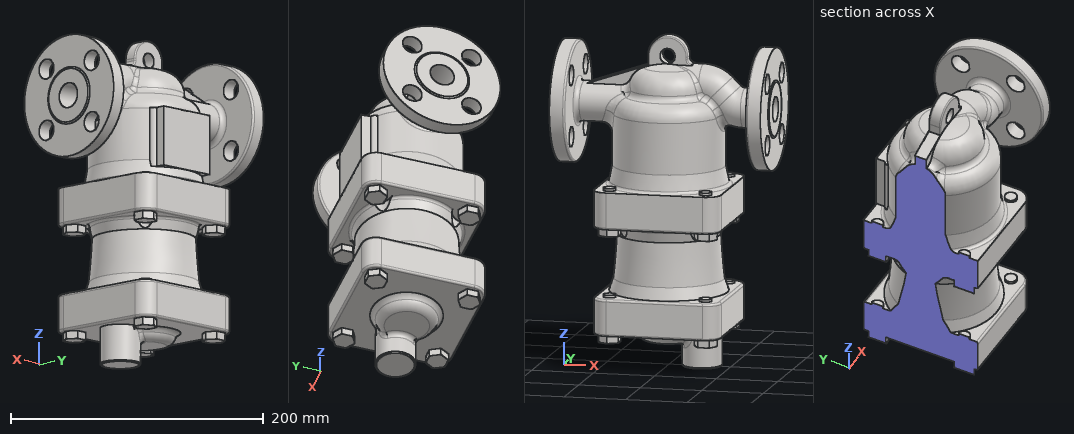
import cadquery as cq
import math


face_to_face = 173.0
flange_diameter = 98.0
flange_thickness = 12.3
flange_rim_radius = 1.5
raised_face_height = 0.7
raised_face_top_diameter = 43.0
raised_face_base_diameter = 46.0
flange_hole_diameter = 16.0
flange_hole_circle = 70.0
pipe_diameter = 32.0
pipe_bore_diameter = 20.0
pipe_bore_depth = 25.0
neck_fillet = 4.0

elbow_start_x = 61.5
elbow_angle = 45.0
elbow_lower_radius = 21.0
elbow_upper_radius = 17.5
elbow_rise = 17.9

body_radius = 45.0
dome_top = 33.8
dome_cap_radius = 20.0
dome_cap_edge = 30.1
dome_radius = 32.0
dome_base = 12.9
shoulder_radius = 15.0
shoulder_base = -6.4
inlet_body_fillet = 9.0
outlet_body_fillet = 5.0
skirt_top = -48.1
skirt_radius = 47.5
skirt_bottom = -61.0
skirt_foot_radius = 50.0
skirt_foot_sagitta = 0.5

square_side = 103.0
square_corner_radius = 12.4
pair_thickness = 30.0
upper_pair_top = -63.4
lower_pair_top = -149.3
pair_edge_fillet = 1.8

bolt_spacing = 78.0
bolt_diameter = 10.0
bolt_projection = 2.0
head_across_flats = 16.0
head_face_diameter = 17.48
head_height = 6.3
bolt_relief_radius = 13.7

waist_radius = 41.2
waist_top = -103.6
waist_sagitta = 0.3
waist_foot_radius = 46.0
waist_foot_sagitta = 0.5
waist_upper_edge_radius = 43.7
waist_upper_edge = -95.4
waist_base_radius = 44.0
waist_base = -139.0

cover_top_radius = 29.0
cover_hollow_sagitta = 0.5
cover_wall_radius = 25.0
cover_round_sagitta = 1.3
cover_wall_top = -183.2
cover_bottom_radius = 18.0
cover_bottom = -189.7
drain_x = 27.0
drain_bottom = -209.1
drain_chamfer = 1.0
drain_cover_fillet = 3.8

lug_radius = 16.0
lug_thickness = 10.5
lug_hole_diameter = 12.0
lug_hole_height = 39.86
lug_edge_fillet = 1.0
lug_foot_fillet = 4.0
rib_low_x = -65.0
rib_low_z = 15.2
rib_high_z = 31.8

pad_width = 52.5
pad_face_y = 47.0
pad_bottom = -54.0
pad_flank_spread = 3.0
pad_flank_height = 4.8
pad_flank_sagitta = 0.9

contact_tolerance = 0.001

pipe_radius = pipe_diameter / 2
connection_x = face_to_face / 2
upper_pair_bottom = upper_pair_top - pair_thickness
lower_pair_bottom = lower_pair_top - pair_thickness
flange_inner_x = connection_x - raised_face_height - flange_thickness


def lies_on(point, solid):
    """Tell whether a point is on the skin of a solid."""
    vertex = cq.Vertex.makeVertex(*point.toTuple())
    return any(face.distance(vertex) < contact_tolerance for face in solid.Faces())


def join_with_fillet(body, addition, radius, region=None):
    """Union two shapes and fillet the corner where their surfaces meet, within a region if given."""
    joined = body.union(addition)
    edges = joined.edges(region) if region else joined.edges()
    solids = (body.val(), addition.val())
    seam = edges.filter(lambda edge: all(lies_on(edge.positionAt(0.5), solid) for solid in solids))
    return seam.fillet(radius)


def point_on_circle(centre, radius, angle):
    return (centre[0] + radius * math.cos(angle), centre[1] + radius * math.sin(angle))


def upper_body():
    """Domed body of revolution with a rounded shoulder and a flared skirt."""
    cap_sagitta = dome_top - dome_cap_edge
    cap_radius = (dome_cap_radius**2 + cap_sagitta**2) / (2 * cap_sagitta)
    cap_mid_r = dome_cap_radius / 2
    cap_mid_z = dome_top - cap_radius + math.sqrt(cap_radius**2 - cap_mid_r**2)

    side_run = dome_radius - dome_cap_radius
    side_height = dome_cap_edge - dome_base
    side_radius = (side_run**2 + side_height**2) / (2 * side_run)
    side_centre = (dome_radius - side_radius, dome_base)
    side_half_angle = math.asin(side_height / side_radius) / 2

    shoulder_centre = (body_radius - shoulder_radius, shoulder_base)
    step = dome_radius - shoulder_centre[0]
    rise = dome_base - shoulder_base
    hollow_radius = (step**2 + rise**2 - shoulder_radius**2) / (2 * (shoulder_radius - step))
    hollow_centre = (dome_radius + hollow_radius, dome_base)
    blend_angle = math.atan2(rise, step + hollow_radius)

    return (
        cq.Workplane("XZ")
        .moveTo(0, upper_pair_top)
        .lineTo(0, dome_top)
        .threePointArc((cap_mid_r, cap_mid_z), (dome_cap_radius, dome_cap_edge))
        .threePointArc(
            point_on_circle(side_centre, side_radius, side_half_angle),
            (dome_radius, dome_base),
        )
        .threePointArc(
            point_on_circle(hollow_centre, -hollow_radius, blend_angle / 2),
            point_on_circle(shoulder_centre, shoulder_radius, blend_angle),
        )
        .threePointArc(
            point_on_circle(shoulder_centre, shoulder_radius, blend_angle / 2),
            (body_radius, shoulder_base),
        )
        .lineTo(body_radius, skirt_top)
        .lineTo(skirt_radius, skirt_bottom)
        .sagittaArc((skirt_foot_radius, upper_pair_top), -skirt_foot_sagitta)
        .close()
        .revolve(360, (0, 0), (0, 1))
    )


def inlet_pipe():
    """Straight pipe from the inlet flange to the body axis."""
    return cq.Workplane("YZ").workplane(offset=-flange_inner_x).circle(pipe_radius).extrude(flange_inner_x)


def outlet_elbow():
    """Straight pipe with an S-bend that climbs into the top of the dome."""
    angle = math.radians(elbow_angle)
    half = angle / 2
    lower_end = (
        elbow_start_x - elbow_lower_radius * math.sin(angle),
        elbow_lower_radius * (1 - math.cos(angle)),
    )
    lower_mid = (
        elbow_start_x - elbow_lower_radius * math.sin(half),
        elbow_lower_radius * (1 - math.cos(half)),
    )
    slope_end_z = elbow_rise - elbow_upper_radius * (1 - math.cos(angle))
    slope_end = (lower_end[0] - (slope_end_z - lower_end[1]) / math.tan(angle), slope_end_z)
    upper_x = slope_end[0] - elbow_upper_radius * math.sin(angle)
    upper_mid = (
        upper_x + elbow_upper_radius * math.sin(half),
        elbow_rise - elbow_upper_radius * (1 - math.cos(half)),
    )
    path = (
        cq.Workplane("XZ")
        .moveTo(flange_inner_x, 0)
        .lineTo(elbow_start_x, 0)
        .threePointArc(lower_mid, lower_end)
        .lineTo(*slope_end)
        .threePointArc(upper_mid, (upper_x, elbow_rise))
        .lineTo(0, elbow_rise)
    )
    return cq.Workplane("YZ").workplane(offset=flange_inner_x).circle(pipe_radius).sweep(path)


def pipe_flange(side):
    """Round flange with a bevelled raised face and a filleted neck; side is -1 or 1."""
    rim = flange_diameter / 2
    neck_end = flange_inner_x - neck_fillet
    arc_offset = neck_fillet * (1 - math.sqrt(0.5))
    outer_x = flange_inner_x + flange_thickness
    rim_offset = flange_rim_radius * (1 - math.sqrt(0.5))
    flange = (
        cq.Workplane("XY")
        .moveTo(neck_end, 0)
        .lineTo(neck_end, pipe_radius)
        .threePointArc(
            (flange_inner_x - arc_offset, pipe_radius + arc_offset),
            (flange_inner_x, pipe_radius + neck_fillet),
        )
        .lineTo(flange_inner_x, rim - flange_rim_radius)
        .threePointArc(
            (flange_inner_x + rim_offset, rim - rim_offset),
            (flange_inner_x + flange_rim_radius, rim),
        )
        .lineTo(outer_x, rim)
        .lineTo(outer_x, raised_face_base_diameter / 2)
        .lineTo(connection_x, raised_face_top_diameter / 2)
        .lineTo(connection_x, 0)
        .close()
        .revolve(360, (0, 0), (1, 0))
    )
    holes = (
        cq.Workplane("YZ")
        .workplane(offset=flange_inner_x)
        .polarArray(flange_hole_circle / 2, 45, 360, 4)
        .circle(flange_hole_diameter / 2)
        .extrude(flange_thickness)
    )
    flange = flange.cut(holes)
    return flange if side > 0 else flange.mirror("YZ")


def pipe_bore(side):
    """Blind bore cut into a pipe connection; side is -1 or 1."""
    bore = (
        cq.Workplane("YZ")
        .workplane(offset=connection_x - pipe_bore_depth)
        .circle(pipe_bore_diameter / 2)
        .extrude(pipe_bore_depth)
    )
    return bore if side > 0 else bore.mirror("YZ")


def square_pair(top, round_top):
    """Two mating square flanges as one block, rounded below and, if asked, above."""
    block = (
        cq.Workplane("XY")
        .workplane(offset=top - pair_thickness)
        .rect(square_side, square_side)
        .extrude(pair_thickness)
        .edges("|Z")
        .fillet(square_corner_radius)
        .faces("<Z")
        .edges()
        .fillet(pair_edge_fillet)
    )
    if round_top:
        block = block.faces(">Z").edges().fillet(pair_edge_fillet)
    return block


def bolts(top):
    """Four bolts with hexagon heads below and stud ends above a flange pair."""
    bottom = top - pair_thickness
    across_corners = head_across_flats / math.cos(math.pi / 6)
    bolt_offset = bolt_spacing / 2
    base = cq.Workplane("XY").workplane(offset=bottom - head_height).center(bolt_offset, -bolt_offset)
    head_round = (
        base.circle(across_corners / 2)
        .extrude(head_height)
        .faces("<Z")
        .edges()
        .chamfer((across_corners - head_face_diameter) / 2)
    )
    head = base.polygon(6, across_corners).extrude(head_height).intersect(head_round)
    shank = base.circle(bolt_diameter / 2).extrude(head_height + pair_thickness + bolt_projection)
    bolt = head.union(shank)
    all_bolts = bolt
    for quarter in range(1, 4):
        all_bolts = all_bolts.union(bolt.rotate((0, 0, 0), (0, 0, 1), 90 * quarter))
    return all_bolts


def middle_body():
    """Waisted body between the flange pairs, relieved around the bolt heads."""
    body = (
        cq.Workplane("XZ")
        .moveTo(0, lower_pair_top)
        .lineTo(0, upper_pair_bottom)
        .lineTo(waist_foot_radius, upper_pair_bottom)
        .sagittaArc((waist_upper_edge_radius, waist_upper_edge), -waist_foot_sagitta)
        .lineTo(waist_radius, waist_top)
        .sagittaArc((waist_base_radius, waist_base), -waist_sagitta)
        .lineTo(skirt_radius, lower_pair_top)
        .close()
        .revolve(360, (0, 0), (0, 1))
    )
    relief = (
        cq.Workplane("XY")
        .workplane(offset=waist_top)
        .rect(bolt_spacing, bolt_spacing, forConstruction=True)
        .vertices()
        .circle(bolt_relief_radius)
        .extrude(upper_pair_bottom - waist_top)
    )
    return body.cut(relief)


def bottom_cover():
    """Shallow dished cover with an offset drain pipe."""
    dish = (
        cq.Workplane("XZ")
        .moveTo(0, lower_pair_bottom)
        .lineTo(cover_top_radius, lower_pair_bottom)
        .sagittaArc((cover_wall_radius, cover_wall_top), -cover_hollow_sagitta)
        .sagittaArc((cover_bottom_radius, cover_bottom), cover_round_sagitta)
        .lineTo(0, cover_bottom)
        .close()
        .revolve(360, (0, 0), (0, 1))
    )
    drain = (
        cq.Workplane("XY")
        .center(drain_x, 0)
        .workplane(offset=drain_bottom)
        .circle(pipe_radius)
        .extrude(lower_pair_bottom - drain_bottom)
        .faces("<Z")
        .chamfer(drain_chamfer)
    )
    return join_with_fillet(dish, drain, drain_cover_fillet)


def lug_and_rib():
    """Lifting eye on the dome and the sloping rib that joins it to the inlet pipe."""
    half = lug_thickness / 2
    elbow_top = elbow_rise + pipe_radius
    lug = (
        cq.Workplane("XZ")
        .workplane(offset=-half)
        .moveTo(-lug_radius, 0)
        .lineTo(-lug_radius, lug_hole_height)
        .threePointArc((0, lug_hole_height + lug_radius), (lug_radius, lug_hole_height))
        .lineTo(lug_radius, elbow_top + lug_foot_fillet)
        .radiusArc((lug_radius + lug_foot_fillet, elbow_top), -lug_foot_fillet)
        .lineTo(lug_radius + lug_foot_fillet, 0)
        .close()
        .extrude(lug_thickness)
        .faces("<Y or >Y")
        .edges()
        .fillet(lug_edge_fillet)
    )
    rib = (
        cq.Workplane("XZ")
        .workplane(offset=-half)
        .moveTo(rib_low_x, 0)
        .lineTo(rib_low_x, rib_low_z)
        .lineTo(-lug_radius, rib_high_z)
        .lineTo(0, rib_high_z)
        .lineTo(0, 0)
        .close()
        .extrude(lug_thickness)
    )
    hole = (
        cq.Workplane("XZ")
        .workplane(offset=-half)
        .center(0, lug_hole_height)
        .circle(lug_hole_diameter / 2)
        .extrude(lug_thickness)
    )
    return lug.union(rib).cut(hole)


def pad():
    """Upright flat-faced block whose sides sweep out into the round body."""
    half_width = pad_width / 2
    foot_x = half_width + pad_flank_spread
    foot_y = math.sqrt(body_radius**2 - foot_x**2)
    flank_y = foot_y + pad_flank_height
    return (
        cq.Workplane("XY")
        .workplane(offset=pad_bottom)
        .moveTo(-foot_x, 0)
        .lineTo(-foot_x, foot_y)
        .sagittaArc((-half_width, flank_y), pad_flank_sagitta)
        .lineTo(-half_width, pad_face_y)
        .lineTo(half_width, pad_face_y)
        .lineTo(half_width, flank_y)
        .sagittaArc((foot_x, foot_y), pad_flank_sagitta)
        .lineTo(foot_x, 0)
        .close()
        .extrude(shoulder_base - pad_bottom)
    )


below_dome_cap = cq.selectors.BoxSelector(
    (dome_cap_radius / 2, -body_radius, -body_radius),
    (connection_x, body_radius, dome_cap_edge),
)

result = upper_body()
result = join_with_fillet(result, inlet_pipe(), inlet_body_fillet)
result = join_with_fillet(result, outlet_elbow(), outlet_body_fillet, below_dome_cap)
result = result.union(pad())
result = result.union(lug_and_rib())
for side in (-1, 1):
    result = result.union(pipe_flange(side))
for side in (-1, 1):
    result = result.cut(pipe_bore(side))
result = result.union(square_pair(upper_pair_top, False))
result = result.union(middle_body())
result = result.union(square_pair(lower_pair_top, True))
result = result.union(bottom_cover())
for top in (upper_pair_top, lower_pair_top):
    result = result.union(bolts(top))